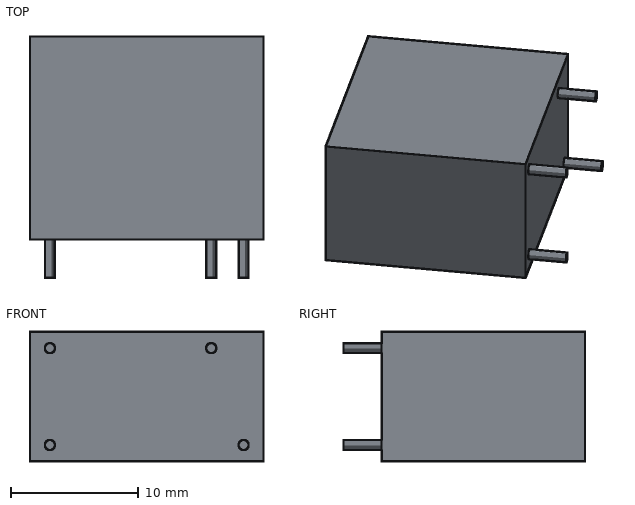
import cadquery as cq

total_depth = 19.0
body_width = 18.4
body_height = 10.2
pin_length = 3.0
body_depth = total_depth - pin_length

pin_diameter = 0.8
column_spacing = 15.24
row_spacing = 7.62
upper_pin_inset = 2.55

pin_x = column_spacing / 2
pin_z = row_spacing / 2
pin_positions = [
    (-pin_x, -pin_z),
    (pin_x, -pin_z),
    (-pin_x, pin_z),
    (pin_x - upper_pin_inset, pin_z),
]

body = cq.Workplane("XY").box(body_width, body_depth, body_height, centered=(True, False, True))

pins = cq.Workplane("XZ").pushPoints(pin_positions).circle(pin_diameter / 2).extrude(pin_length)

result = body.union(pins)